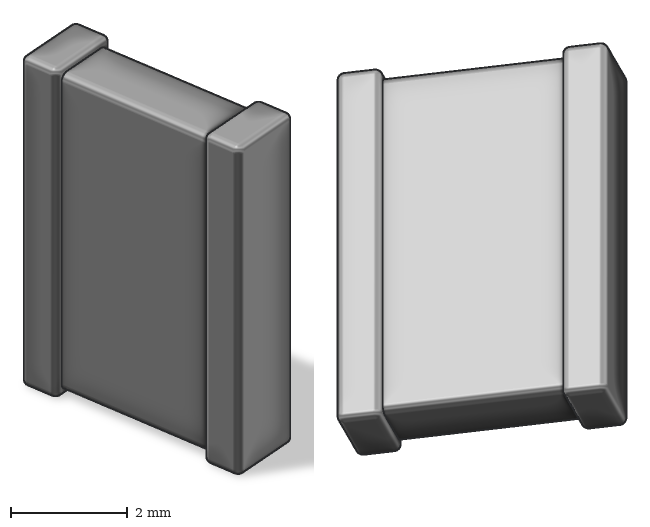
import cadquery as cq

length_x = 4.8
depth_y = 1.5
height_z = 6.7

terminal_width = 0.8
terminal_fillet = 0.135

body_inset = 0.135
body_fillet = 0.15

body_length = length_x - 2 * terminal_width
terminal_offset = (length_x - terminal_width) / 2


def make_ceramic_body():
    """Block between the terminals, rounded along its four X edges."""
    return (
        cq.Workplane("XY")
        .box(body_length, depth_y - 2 * body_inset, height_z - 2 * body_inset)
        .edges("|X")
        .fillet(body_fillet)
    )


def make_terminal(center_x):
    """End bar rounded on every edge, centred at center_x."""
    return (
        cq.Workplane("XY")
        .box(terminal_width, depth_y, height_z)
        .edges()
        .fillet(terminal_fillet)
        .translate((center_x, 0, 0))
    )


ceramic_body = make_ceramic_body()
terminals = [make_terminal(side * terminal_offset) for side in (-1, 1)]

result = cq.Compound.makeCompound(
    [ceramic_body.val(), *[terminal.val() for terminal in terminals]]
)